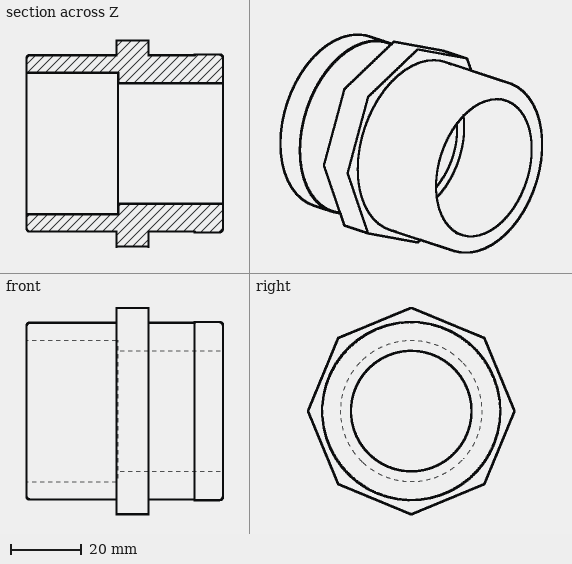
import cadquery as cq
import math

length = 55.6
nut_across_corners = 58.35
corner_radius = 0.6
nut_sides = 8

body_diameter = 50.0
collar_diameter = 50.4

nut_start = 25.45
nut_width = 9.1
collar_start = 47.55

front_round = 1.0
rear_round = 1.1

socket_diameter = 40.0
bore_diameter = 34.0
socket_depth = 25.9


def cylinder(diameter, start, end):
    """Solid cylinder on the X axis from start to end."""
    return cq.Workplane("YZ", origin=(start, 0, 0)).circle(diameter / 2).extrude(end - start)


def make_body():
    """Round body with a rounded front rim and a slightly larger rear collar."""
    tube = cylinder(body_diameter, 0, collar_start).faces("<X").edges().fillet(front_round)
    collar = cylinder(collar_diameter, collar_start, length).faces(">X").edges().fillet(rear_round)
    return tube.union(collar)


def make_nut():
    """Octagonal grip with slightly rounded corners on the Y and Z axes."""
    half_turn_between_corners = math.pi / nut_sides
    rounding_loss = corner_radius * (1 / math.cos(half_turn_between_corners) - 1)
    sharp_across_corners = nut_across_corners + 2 * rounding_loss
    return (
        cq.Workplane("YZ", origin=(nut_start, 0, 0))
        .polygon(nut_sides, sharp_across_corners)
        .extrude(nut_width)
        .edges("|X")
        .fillet(corner_radius)
    )


def make_bore():
    """Through bore with a wider socket at the front."""
    return cylinder(bore_diameter, 0, length).union(cylinder(socket_diameter, 0, socket_depth))


result = make_body().union(make_nut()).cut(make_bore())